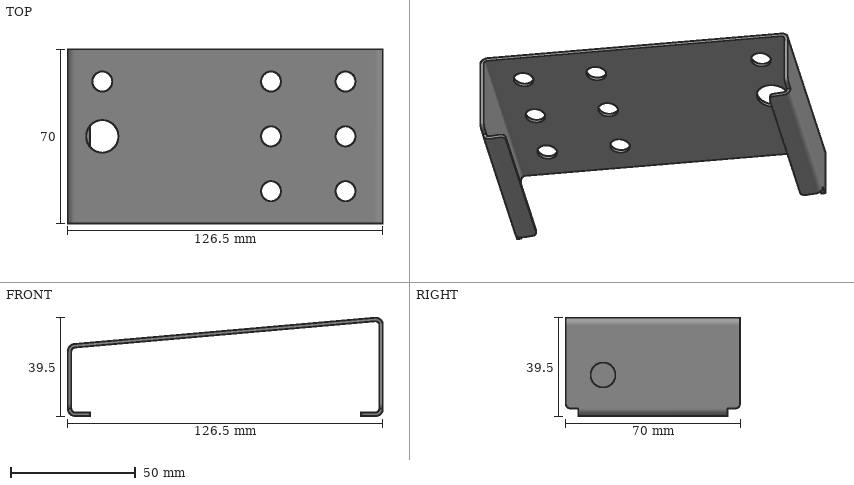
import cadquery as cq
import math

LENGTH = 126.5
WIDTH = 70.0
THICKNESS = 1.5
BEND_RADIUS = 3.0
SLOPE = 5.0
LOW_BEND_Z = 25.99

LIP_LENGTH = 9.0
LIP_WIDTH = 60.0
CORNER_RADIUS = 2.0

SMALL_HOLE = 8.0
CABLE_HOLE = 13.0
ROW_PITCH = 22.0
LOW_COLUMN_X = 13.8
MIDDLE_COLUMN_X = 81.5
HIGH_COLUMN_X = 111.4

WALL_HOLE = 10.0
WALL_HOLE_Y = -20.0
WALL_HOLE_Z = 16.5

CUTTER_OVERRUN = THICKNESS
CUTTER_LENGTH = THICKNESS + 2 * CUTTER_OVERRUN
INNER_RADIUS = BEND_RADIUS - THICKNESS
LOW_BEND_X = BEND_RADIUS
HIGH_BEND_X = LENGTH - BEND_RADIUS
SLOPE_TANGENT = math.tan(math.radians(SLOPE))
HIGH_BEND_Z = LOW_BEND_Z + (HIGH_BEND_X - LOW_BEND_X) * SLOPE_TANGENT
ENVELOPE_HEIGHT = HIGH_BEND_Z + BEND_RADIUS


def on_bend(center_x, center_z, radius, degrees):
    """Point on a bend arc, with the angle measured from +X towards +Z."""
    angle = math.radians(degrees)
    return (center_x + radius * math.cos(angle), center_z + radius * math.sin(angle))


def sheet_profile():
    """Closed XZ outline of the bent sheet."""
    normal = 90 + SLOPE
    bends = [
        (LOW_BEND_X, BEND_RADIUS, 270, 180),
        (LOW_BEND_X, LOW_BEND_Z, 180, normal),
        (HIGH_BEND_X, HIGH_BEND_Z, normal, 0),
        (HIGH_BEND_X, BEND_RADIUS, 0, -90),
    ]
    outline = cq.Workplane("XZ").moveTo(LIP_LENGTH, 0)
    for x, z, start, end in bends:
        outline = outline.lineTo(*on_bend(x, z, BEND_RADIUS, start))
        middle = on_bend(x, z, BEND_RADIUS, (start + end) / 2)
        outline = outline.threePointArc(middle, on_bend(x, z, BEND_RADIUS, end))
    outline = outline.lineTo(LENGTH - LIP_LENGTH, 0)
    outline = outline.lineTo(LENGTH - LIP_LENGTH, THICKNESS)
    for x, z, start, end in reversed(bends):
        outline = outline.lineTo(*on_bend(x, z, INNER_RADIUS, end))
        middle = on_bend(x, z, INNER_RADIUS, (start + end) / 2)
        outline = outline.threePointArc(middle, on_bend(x, z, INNER_RADIUS, start))
    return outline.lineTo(LIP_LENGTH, THICKNESS).close()


def wall_blank():
    """Full-width envelope above the lip bends, with rounded lower corners."""
    blank = cq.Workplane("XY").box(LENGTH, WIDTH, ENVELOPE_HEIGHT, centered=(False, True, False))
    blank = blank.edges("|X and <Z").fillet(CORNER_RADIUS)
    return blank.translate((0, 0, BEND_RADIUS))


def lip_blank(start_x, free_edge):
    """Narrow envelope around one lip, with its free corners rounded."""
    blank = cq.Workplane("XY").box(LIP_LENGTH, LIP_WIDTH, LOW_BEND_Z, centered=(False, True, False))
    blank = blank.edges("|Z and " + free_edge).fillet(CORNER_RADIUS)
    return blank.translate((start_x, 0, 0))


def bent_sheet():
    sheet = sheet_profile().extrude(WIDTH / 2, both=True)
    envelope = wall_blank()
    envelope = envelope.union(lip_blank(0, ">X"))
    envelope = envelope.union(lip_blank(LENGTH - LIP_LENGTH, "<X"))
    return sheet.intersect(envelope)


def top_hole(x, y, diameter):
    """Cutter square to the sloping top, centred on its outer face."""
    normal = cq.Vector(-math.sin(math.radians(SLOPE)), 0, math.cos(math.radians(SLOPE)))
    face_z = LOW_BEND_Z + (x - LOW_BEND_X) * SLOPE_TANGENT + BEND_RADIUS / normal.z
    start = cq.Vector(x, y, face_z) - normal * (THICKNESS + CUTTER_OVERRUN)
    return cq.Solid.makeCylinder(diameter / 2, CUTTER_LENGTH, start, normal)


def wall_hole():
    start = cq.Vector(LENGTH - THICKNESS - CUTTER_OVERRUN, WALL_HOLE_Y, WALL_HOLE_Z)
    return cq.Solid.makeCylinder(WALL_HOLE / 2, CUTTER_LENGTH, start, cq.Vector(1, 0, 0))


result = bent_sheet()
for column_x in (MIDDLE_COLUMN_X, HIGH_COLUMN_X):
    for row in (-1, 0, 1):
        result = result.cut(top_hole(column_x, row * ROW_PITCH, SMALL_HOLE))
result = result.cut(top_hole(LOW_COLUMN_X, ROW_PITCH, SMALL_HOLE))
result = result.cut(top_hole(LOW_COLUMN_X, 0, CABLE_HOLE))
result = result.cut(wall_hole())